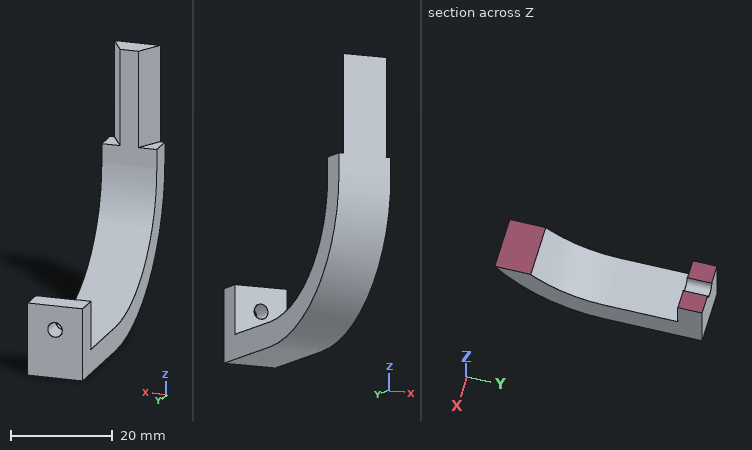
import cadquery as cq
import math

width = 11.5
length = 50.0
height = 54.0

thickness = 5.0
bend_radius = 30.0
shoulder_height = 34.0
lip_height = 15.0

dovetail_width = 9.6
dovetail_angle = 30.0

hole_diameter = 3.0

inner_radius = bend_radius - thickness
diagonal = math.sqrt(0.5)


def bend_middle(radius):
    """Midpoint of a quarter bend of the given radius, in (Y, Z)."""
    return (bend_radius - radius * diagonal, bend_radius - radius * diagonal)


def make_strap():
    """J-shaped strap with a short upright lip at the +Y end."""
    return (
        cq.Workplane("YZ")
        .moveTo(0, shoulder_height)
        .lineTo(0, bend_radius)
        .threePointArc(bend_middle(bend_radius), (bend_radius, 0))
        .lineTo(length, 0)
        .lineTo(length, lip_height)
        .lineTo(length - thickness, lip_height)
        .lineTo(length - thickness, thickness)
        .lineTo(bend_radius, thickness)
        .threePointArc(bend_middle(inner_radius), (thickness, bend_radius))
        .lineTo(thickness, shoulder_height)
        .close()
        .extrude(width / 2, both=True)
    )


def make_dovetail():
    """Tapered tongue standing on the tall end of the strap."""
    outer_half = dovetail_width / 2
    inner_half = outer_half - thickness * math.tan(math.radians(dovetail_angle))
    return (
        cq.Workplane("XY", origin=(0, 0, shoulder_height))
        .polyline([
            (-outer_half, 0),
            (outer_half, 0),
            (inner_half, thickness),
            (-inner_half, thickness),
        ])
        .close()
        .extrude(height - shoulder_height)
    )


def make_lip_hole():
    """Cutter for the hole through the lip, centred on its inner face."""
    hole_height = (thickness + lip_height) / 2
    return (
        cq.Workplane("XZ", origin=(0, length, hole_height))
        .circle(hole_diameter / 2)
        .extrude(thickness)
    )


result = make_strap().union(make_dovetail()).cut(make_lip_hole())